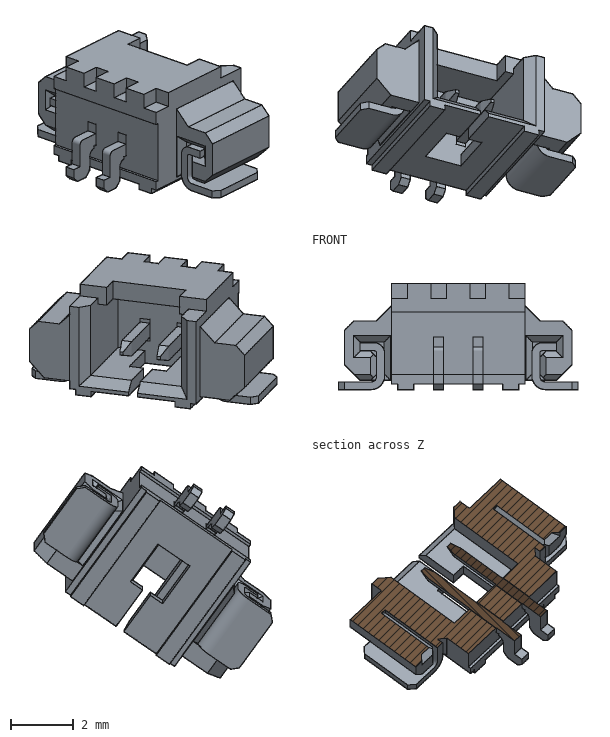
import cadquery as cq


HOUSING_HALF_WIDTH = 2.135
HOUSING_DEPTH = 4.21
HOUSING_TOP = 3.4
HOUSING_BOTTOM = 0.18
STEP_Y = 3.205
STEP_Z = 3.0
ROOF_CUT_HALF_WIDTH = 1.23
ROOF_CUT_Y = 2.6
RECESS_DEPTH = 0.09
RECESS_BOTTOM = 0.48
RECESS_TOP = 2.49
NOTCH_WIDTH = 0.49
NOTCH_DEPTH = 0.605
NOTCH_HEIGHT = 0.48
CORNER_NOTCH_WIDTH = 0.51
FOOT_INNER_X = 1.415
FOOT_WIDTH = 0.52

CAVITY_HALF_WIDTH = 1.53
CAVITY_REAR_Y = 1.225
CAVITY_FLOOR = 0.61
CAVITY_CEILING = 2.79
LEAD_IN = 0.3
KEY_SLOT_WIDTH = 0.3
KEY_SLOT_Y = 2.74

PIN_X = 0.63
PIN_WIDTH = 0.33
CONTACT_HEIGHT = 0.49
SHOULDER_TOP = 1.69
SHOULDER_BOTTOM = 0.96
TIP_Y = 3.51
TAPER_LENGTH = 0.51
TIP_WIDTH = 0.115
LEAD_TOP = 1.37
LEAD_BOTTOM = 0.88
LEG_OUTER_Y = -0.69
LEG_INNER_Y = -0.21
LEG_FILLET = 0.145
TOE_Y = -0.995
TOE_TOP = 0.48
TOE_CHAMFER = 0.18

WING_OUTER_X = 3.63
WING_FRONT_Y = 1.01
WING_BACK_Y = 3.81
WING_TOP = 2.195
WING_BOTTOM = 0.3
GUSSET_SIZE = 0.49
WING_TOP_CHAMFER = 0.3
WING_BOTTOM_CHAMFER = 0.5

SLOT_INNER_X = 2.365
SLOT_POST_X = 2.6
SLOT_END_X = 3.13
SLOT_TOP = 1.52
SLOT_LEDGE = 1.23
SLOT_BACK_Y = 3.21
SLOT_FLARE = 0.21
POST_BEVEL = 0.19
POST_CORNER_CUT = 0.2

TAB_INNER_X = 2.35
TAB_THICKNESS = 0.25
TAB_END_X = 3.825
TAB_TOP = 1.5
TAB_FRONT_Y = 0.995
TAB_CHAMFER = 0.2
TAB_UPPER_BEND = 0.34
TAB_LOWER_BEND = 0.44


def block(x_range, y_range, z_range):
    """Box between the two limits given for each axis."""
    sizes = [high - low for low, high in (x_range, y_range, z_range)]
    corner = (x_range[0], y_range[0], z_range[0])
    return cq.Workplane("XY").box(*sizes, centered=False).translate(corner)


def prism_along_y(points, y_start, y_end):
    """Polygon in X and Z, swept from y_start to y_end."""
    return cq.Workplane("XZ", origin=(0, y_start, 0)).polyline(points).close().extrude(y_start - y_end)


def both_sides(body):
    """The +X feature together with its mirror image."""
    return body.union(body.mirror("YZ"))


def housing_block():
    width = (-HOUSING_HALF_WIDTH, HOUSING_HALF_WIDTH)
    body = block(width, (0, HOUSING_DEPTH), (HOUSING_BOTTOM, HOUSING_TOP))
    body = body.cut(block(width, (STEP_Y, HOUSING_DEPTH), (STEP_Z, HOUSING_TOP)))
    body = body.cut(block(width, (0, RECESS_DEPTH), (RECESS_BOTTOM, RECESS_TOP)))
    foot_x = (FOOT_INNER_X, FOOT_INNER_X + FOOT_WIDTH)
    return body.union(both_sides(block(foot_x, (0, HOUSING_DEPTH), (0, HOUSING_BOTTOM))))


def roof_notches():
    """Notches in the rear top edge: one over each pin and one at each corner."""
    depth = (0, NOTCH_DEPTH)
    height = (HOUSING_TOP - NOTCH_HEIGHT, HOUSING_TOP)
    over_pin = block((PIN_X - NOTCH_WIDTH / 2, PIN_X + NOTCH_WIDTH / 2), depth, height)
    corner = block((HOUSING_HALF_WIDTH - CORNER_NOTCH_WIDTH, HOUSING_HALF_WIDTH), depth, height)
    return both_sides(over_pin.union(corner))


def mating_cavity():
    """Cavity with its lead-in, the cut in the roof and the T-shaped opening in the floor."""
    cavity = block(
        (-CAVITY_HALF_WIDTH, CAVITY_HALF_WIDTH),
        (CAVITY_REAR_Y, HOUSING_DEPTH),
        (CAVITY_FLOOR, CAVITY_CEILING),
    )
    open_top = block(
        (-CAVITY_HALF_WIDTH, CAVITY_HALF_WIDTH), (STEP_Y, HOUSING_DEPTH), (CAVITY_FLOOR, HOUSING_TOP)
    )
    roof_cut = block(
        (-ROOF_CUT_HALF_WIDTH, ROOF_CUT_HALF_WIDTH), (ROOF_CUT_Y, STEP_Y), (CAVITY_FLOOR, HOUSING_TOP)
    )
    opening_height = HOUSING_TOP - CAVITY_FLOOR
    lead_in = (
        cq.Workplane("XZ", origin=(0, HOUSING_DEPTH, CAVITY_FLOOR + opening_height / 2))
        .rect(2 * (CAVITY_HALF_WIDTH + LEAD_IN), opening_height + 2 * LEAD_IN)
        .workplane(offset=LEAD_IN)
        .rect(2 * CAVITY_HALF_WIDTH, opening_height)
        .loft(ruled=True)
    )
    key_slot = block(
        (-KEY_SLOT_WIDTH / 2, KEY_SLOT_WIDTH / 2), (KEY_SLOT_Y, HOUSING_DEPTH), (HOUSING_BOTTOM, CAVITY_FLOOR)
    )
    floor_window = block((-PIN_X, PIN_X), (CAVITY_REAR_Y, KEY_SLOT_Y), (HOUSING_BOTTOM, CAVITY_FLOOR))
    body = cavity
    for cutter in (open_top, roof_cut, lead_in, key_slot, floor_window):
        body = body.union(cutter)
    return body


def wing():
    """Solid wing on the +X side, sloping up to the housing wall."""
    points = [
        (HOUSING_HALF_WIDTH, WING_BOTTOM),
        (WING_OUTER_X - WING_BOTTOM_CHAMFER, WING_BOTTOM),
        (WING_OUTER_X, WING_BOTTOM + WING_BOTTOM_CHAMFER),
        (WING_OUTER_X, WING_TOP - WING_TOP_CHAMFER),
        (WING_OUTER_X - WING_TOP_CHAMFER, WING_TOP),
        (HOUSING_HALF_WIDTH + GUSSET_SIZE, WING_TOP),
        (HOUSING_HALF_WIDTH, WING_TOP + GUSSET_SIZE),
    ]
    return prism_along_y(points, WING_FRONT_Y, WING_BACK_Y)


def slot_outline(flare):
    """Hook-shaped slot in the +X wing, with every wall moved outward by the flare."""
    return [
        (SLOT_INNER_X - flare, WING_BOTTOM),
        (SLOT_INNER_X - flare, SLOT_TOP + flare),
        (SLOT_END_X + flare, SLOT_TOP + flare),
        (SLOT_END_X + flare, SLOT_LEDGE - flare),
        (SLOT_POST_X + flare, SLOT_LEDGE - flare),
        (SLOT_POST_X + flare, WING_BOTTOM),
    ]


def corner_cut(x, z, x_size, z_size):
    """Triangle that takes off one long corner of the slot."""
    return prism_along_y([(x, z), (x + x_size, z), (x, z + z_size)], WING_FRONT_Y, SLOT_BACK_Y)


def slot():
    """Blind slot with a flared mouth, cut corners and a bevel under its post."""
    body = prism_along_y(slot_outline(0), WING_FRONT_Y, SLOT_BACK_Y)
    mouth = (
        cq.Workplane("XZ", origin=(0, WING_FRONT_Y, 0))
        .polyline(slot_outline(SLOT_FLARE))
        .close()
        .workplane(offset=-SLOT_FLARE)
        .polyline(slot_outline(0))
        .close()
        .loft(ruled=True)
    )
    post_bevel = (
        cq.Workplane("YZ", origin=(SLOT_POST_X, 0, 0))
        .polyline(
            [
                (WING_FRONT_Y, WING_BOTTOM),
                (WING_FRONT_Y + POST_BEVEL, WING_BOTTOM),
                (WING_FRONT_Y, WING_BOTTOM + POST_BEVEL),
            ]
        )
        .close()
        .extrude(WING_OUTER_X - SLOT_POST_X)
    )
    body = body.union(mouth).union(post_bevel)
    body = body.union(corner_cut(SLOT_POST_X, SLOT_LEDGE, POST_CORNER_CUT, -POST_CORNER_CUT))
    body = body.union(corner_cut(SLOT_POST_X, WING_BOTTOM, POST_CORNER_CUT, POST_CORNER_CUT))
    return body.union(corner_cut(SLOT_INNER_X, WING_BOTTOM, -SLOT_FLARE, SLOT_FLARE))


def solder_tab():
    """Bent strip that fills the +X slot, with its foot on the board."""
    inner_x = TAB_INNER_X
    outer_x = inner_x + TAB_THICKNESS
    points = [
        (SLOT_END_X, TAB_TOP),
        (inner_x, TAB_TOP),
        (inner_x, 0),
        (TAB_END_X, 0),
        (TAB_END_X, TAB_THICKNESS),
        (outer_x, TAB_THICKNESS),
        (outer_x, TAB_TOP - TAB_THICKNESS),
        (SLOT_END_X, TAB_TOP - TAB_THICKNESS),
    ]
    tab = prism_along_y(points, TAB_FRONT_Y, SLOT_BACK_Y)

    def bend(body, x, z, radius):
        """Round the bend edge that runs along Y at the given X and Z."""
        middle_y = (TAB_FRONT_Y + SLOT_BACK_Y) / 2
        return body.edges("|Y").edges(cq.NearestToPointSelector((x, middle_y, z))).fillet(radius)

    tab = bend(tab, inner_x, TAB_TOP, TAB_UPPER_BEND)
    tab = bend(tab, outer_x, TAB_TOP - TAB_THICKNESS, TAB_UPPER_BEND - TAB_THICKNESS)
    tab = bend(tab, inner_x, 0, TAB_LOWER_BEND)
    tab = bend(tab, outer_x, TAB_THICKNESS, TAB_LOWER_BEND - TAB_THICKNESS)
    return tab.faces(">X").edges("|Z").chamfer(TAB_CHAMFER)


def pin(x):
    """Stamped pin: tall shoulder in the rear wall, tapered contact inside, bent lead outside."""
    contact_center_z = (SHOULDER_TOP + SHOULDER_BOTTOM) / 2
    contact_top = contact_center_z + CONTACT_HEIGHT / 2
    contact_bottom = contact_center_z - CONTACT_HEIGHT / 2
    taper_y = TIP_Y - TAPER_LENGTH
    arc_radius = -LEG_INNER_Y
    body = (
        cq.Workplane("YZ", origin=(-PIN_WIDTH / 2, 0, 0))
        .moveTo(taper_y, contact_top)
        .lineTo(CAVITY_REAR_Y, contact_top)
        .lineTo(CAVITY_REAR_Y, SHOULDER_TOP)
        .lineTo(RECESS_DEPTH, SHOULDER_TOP)
        .lineTo(RECESS_DEPTH, LEAD_TOP)
        .lineTo(LEG_OUTER_Y + LEG_FILLET, LEAD_TOP)
        .radiusArc((LEG_OUTER_Y, LEAD_TOP - LEG_FILLET), -LEG_FILLET)
        .lineTo(LEG_OUTER_Y, TOE_TOP)
        .lineTo(TOE_Y, TOE_TOP)
        .lineTo(TOE_Y, TOE_CHAMFER)
        .lineTo(TOE_Y + TOE_CHAMFER, 0)
        .lineTo(LEG_INNER_Y - TOE_CHAMFER, 0)
        .lineTo(LEG_INNER_Y, TOE_CHAMFER)
        .lineTo(LEG_INNER_Y, LEAD_BOTTOM - arc_radius)
        .radiusArc((0, LEAD_BOTTOM), arc_radius)
        .lineTo(0, SHOULDER_BOTTOM)
        .lineTo(CAVITY_REAR_Y, SHOULDER_BOTTOM)
        .lineTo(CAVITY_REAR_Y, contact_bottom)
        .lineTo(taper_y, contact_bottom)
        .close()
        .extrude(PIN_WIDTH)
    )
    tip = (
        cq.Workplane("XZ", origin=(0, taper_y, contact_center_z))
        .rect(PIN_WIDTH, CONTACT_HEIGHT)
        .workplane(offset=-TAPER_LENGTH)
        .rect(TIP_WIDTH, TIP_WIDTH)
        .loft(ruled=True)
    )
    return body.union(tip).translate((x, 0, 0))


def housing(pins):
    """Block, slotted wings and their solder tabs, with a matching hole for each pin."""
    body = housing_block().cut(roof_notches()).cut(mating_cavity())
    body = body.union(both_sides(wing().cut(slot()).union(solder_tab())))
    for single_pin in pins:
        body = body.cut(single_pin)
    return body


pins = [pin(x) for x in (-PIN_X, PIN_X)]
connector_housing = housing(pins).solids()
result = cq.Compound.makeCompound([connector_housing.val(), *[single_pin.val() for single_pin in pins]])